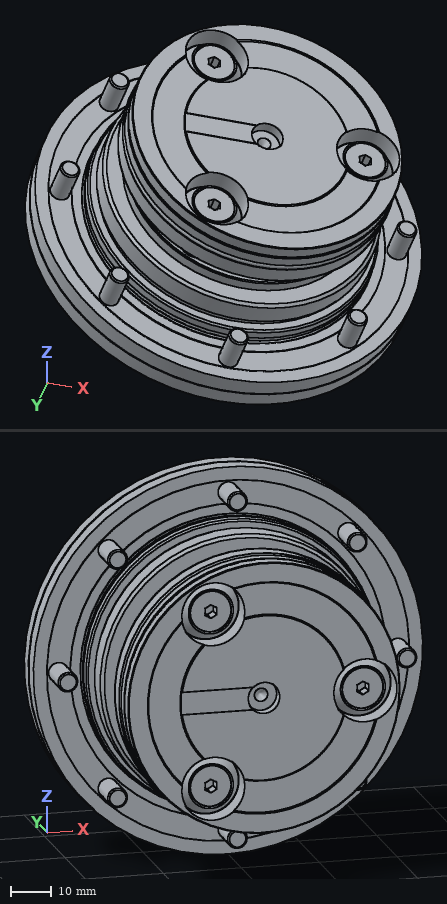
import cadquery as cq
import math

total_length = 45.3

flange_radius = 50
flange_back_at = 0.3
flange_seam_at = 5.2
flange_front_at = 10.1
flange_edge_fillet = 0.8
flange_seam_size = 0.1
pad_radius = 38.2

gasket_inner_radius = 40.5
gasket_outer_radius = 46.5
gasket_depth = 0.3
pin_count = 8
pin_circle_radius = 43.5
pin_diameter = 5
pin_end_at = 19.5
pin_chamfer = 0.4

spigot_radius = 37.6
spigot_groove_end_at = 11.9
spigot_end_at = 14.6
spigot_chamfer = 0.5
spigot_gap_radius = 37.9
spigot_gap_depth = 0.3
neck_radius = 35.1
neck_end_at = 16.3
neck_base_radius = 34.7
collar_radius = 36
collar_start_at = 16.7
collar_end_at = 22.8
collar_chamfer_radial = 0.9
collar_chamfer_length = 0.6
step_radius = 31
step_end_at = 25.9
step_chamfer = 0.3

ring_tube_radius = 0.9
groove_depth = 1
disk_groove_at = 37.5
disk_ring_rise = 0.3

disk_radius = 69.8 / 2
disk_start_at = 31.9
disk_chamfer = 0.2
disk_seam_at = 41.5
disk_seam_size = 0.3

face_groove_inner_radius = 21.2
face_groove_outer_radius = 29.9
face_groove_depth = 0.3
face_groove_taper = 0.3
slot_width = 5.8
slot_depth = 0.2
center_hole_diameter = 8
center_hole_depth = 3
center_mark_diameter = 3.4

screw_angles = (0, 120, 240)
screw_circle_radius = 26
shank_diameter = 8
recess_diameter = 16.2
recess_depth = 6
head_base_diameter = 16
head_top_diameter = 11.5
head_top_depth = 2.5
head_groove_width = 0.5
head_groove_depth = 0.4
hex_across_flats = 3
hex_depth = 3.5
post_diameter = 12.5
post_circle_radius = 23
post_angle_from_screw = 34.3


def turned(points):
    """Revolve an outline of (radius, distance from back face) points about the Y axis."""
    outline = [(radius, -at) for radius, at in points]
    return cq.Workplane("XY").polyline(outline).close().revolve(360, (0, 0, 0), (0, 1, 0))


def cylinder(radius, start_at, end_at, circle_radius=0, angle=0):
    """Solid cylinder along Y, placed on a circle about the main axis."""
    x = circle_radius * math.cos(math.radians(angle))
    z = circle_radius * math.sin(math.radians(angle))
    axis_start = cq.Vector(x, -start_at, z)
    toward_front = cq.Vector(0, -1, 0)
    return cq.Workplane(cq.Solid.makeCylinder(radius, end_at - start_at, axis_start, toward_front))


def annulus(inner_radius, outer_radius, start_at, end_at):
    return cylinder(outer_radius, start_at, end_at).cut(cylinder(inner_radius, start_at, end_at))


def sealing_ring(outer_radius, floor_radius, center_at):
    """Ring with a round outer side, filling a groove down to its floor."""
    shoulder_radius = outer_radius - ring_tube_radius
    start_y = -center_at + ring_tube_radius
    end_y = -center_at - ring_tube_radius
    return (
        cq.Workplane("XY")
        .moveTo(floor_radius, start_y)
        .lineTo(shoulder_radius, start_y)
        .threePointArc((outer_radius, -center_at), (shoulder_radius, end_y))
        .lineTo(floor_radius, end_y)
        .close()
        .revolve(360, (0, 0, 0), (0, 1, 0))
    )


def make_flange():
    pad = cylinder(pad_radius, 0, flange_seam_at)
    plate = cylinder(flange_radius, flange_back_at, flange_front_at)
    plate = plate.faces(">Y").edges().fillet(flange_edge_fillet)
    gasket_groove = annulus(
        gasket_inner_radius, gasket_outer_radius, flange_front_at - gasket_depth, flange_front_at
    )
    spigot_gap = annulus(
        spigot_radius - groove_depth, spigot_gap_radius, flange_front_at - spigot_gap_depth, flange_front_at
    )
    seam = turned([
        (flange_radius, flange_seam_at - flange_seam_size),
        (flange_radius - flange_seam_size, flange_seam_at),
        (flange_radius, flange_seam_at + flange_seam_size),
    ])
    flange = plate.union(pad).cut(gasket_groove).cut(spigot_gap).cut(seam)
    for index in range(pin_count):
        angle = index * 360 / pin_count
        pin = cylinder(pin_diameter / 2, flange_seam_at, pin_end_at, pin_circle_radius, angle)
        flange = flange.union(pin.faces("<Y").chamfer(pin_chamfer))
    return flange


def make_hub():
    hub = turned([
        (0, flange_seam_at),
        (spigot_radius - groove_depth, flange_seam_at),
        (spigot_radius - groove_depth, spigot_groove_end_at),
        (spigot_radius, spigot_groove_end_at),
        (spigot_radius, spigot_end_at - spigot_chamfer),
        (spigot_radius - spigot_chamfer, spigot_end_at),
        (neck_radius, spigot_end_at),
        (neck_radius, neck_end_at),
        (neck_base_radius, collar_start_at),
        (collar_radius, collar_start_at),
        (collar_radius, collar_end_at - collar_chamfer_length),
        (collar_radius - collar_chamfer_radial, collar_end_at),
        (step_radius, collar_end_at),
        (step_radius, step_end_at - step_chamfer),
        (step_radius - step_chamfer, step_end_at),
        (0, step_end_at),
    ])
    ring_at = spigot_groove_end_at - ring_tube_radius
    return hub.union(sealing_ring(spigot_radius, spigot_radius - groove_depth, ring_at))


def make_disk():
    groove_start_at = disk_groove_at - ring_tube_radius
    groove_end_at = disk_groove_at + ring_tube_radius
    disk = turned([
        (0, disk_start_at),
        (disk_radius - disk_chamfer, disk_start_at),
        (disk_radius, disk_start_at + disk_chamfer),
        (disk_radius, groove_start_at),
        (disk_radius - groove_depth, groove_start_at),
        (disk_radius - groove_depth, groove_end_at),
        (disk_radius, groove_end_at),
        (disk_radius, disk_seam_at - disk_seam_size),
        (disk_radius - disk_seam_size, disk_seam_at),
        (disk_radius, disk_seam_at + disk_seam_size),
        (disk_radius, total_length - disk_chamfer),
        (disk_radius - disk_chamfer, total_length),
        (0, total_length),
    ])
    ring = sealing_ring(disk_radius + disk_ring_rise, disk_radius - groove_depth, disk_groove_at)
    disk = disk.union(ring)
    return cut_face(disk)


def cut_face(disk):
    groove_floor_at = total_length - face_groove_depth
    groove = turned([
        (face_groove_inner_radius, total_length),
        (face_groove_inner_radius + face_groove_taper, groove_floor_at),
        (face_groove_outer_radius - face_groove_taper, groove_floor_at),
        (face_groove_outer_radius, total_length),
    ])
    slot = cq.Workplane("XY").box(
        face_groove_inner_radius, slot_depth, slot_width, centered=(False, False, True)
    ).translate((-face_groove_inner_radius, -total_length, 0))
    hole_floor_at = total_length - center_hole_depth
    hole = cylinder(center_hole_diameter / 2, hole_floor_at, total_length)
    mark_radius = center_mark_diameter / 2
    mark = turned([
        (0, hole_floor_at),
        (mark_radius, hole_floor_at),
        (0, hole_floor_at - mark_radius),
    ])
    disk = disk.cut(groove).cut(slot).cut(hole).cut(mark)
    for angle in screw_angles:
        recess = cylinder(
            recess_diameter / 2, total_length - recess_depth, total_length, screw_circle_radius, angle
        )
        disk = disk.cut(recess)
    return disk


def make_screw(angle):
    """Shank and tapered head with a fine ring groove near its rim and a hexagon socket."""
    head_base_at = total_length - recess_depth
    head_top_at = total_length - head_top_depth
    top_radius = head_top_diameter / 2
    head = turned([
        (0, head_base_at),
        (head_base_diameter / 2, head_base_at),
        (top_radius, head_top_at),
        (top_radius - head_groove_width, head_top_at - head_groove_depth),
        (top_radius - head_groove_width, head_top_at),
        (0, head_top_at),
    ])
    socket = (
        cq.Workplane("XZ", origin=(0, -head_top_at, 0))
        .polygon(6, hex_across_flats, circumscribed=True)
        .extrude(-hex_depth)
    )
    x = screw_circle_radius * math.cos(math.radians(angle))
    z = screw_circle_radius * math.sin(math.radians(angle))
    head = head.cut(socket).translate((x, 0, z))
    shank = cylinder(shank_diameter / 2, collar_end_at, head_base_at, screw_circle_radius, angle)
    return head.union(shank)


def make_posts(screw_angle):
    """Pair of spacer posts, one on each side of a screw."""
    posts = cq.Workplane()
    for side in (-1, 1):
        angle = screw_angle + side * post_angle_from_screw
        posts = posts.add(
            cylinder(post_diameter / 2, collar_end_at, disk_groove_at, post_circle_radius, angle)
        )
    return posts.combine()


result = make_flange().union(make_hub()).union(make_disk())
for screw_angle in screw_angles:
    result = result.union(make_screw(screw_angle))
    result = result.union(make_posts(screw_angle))